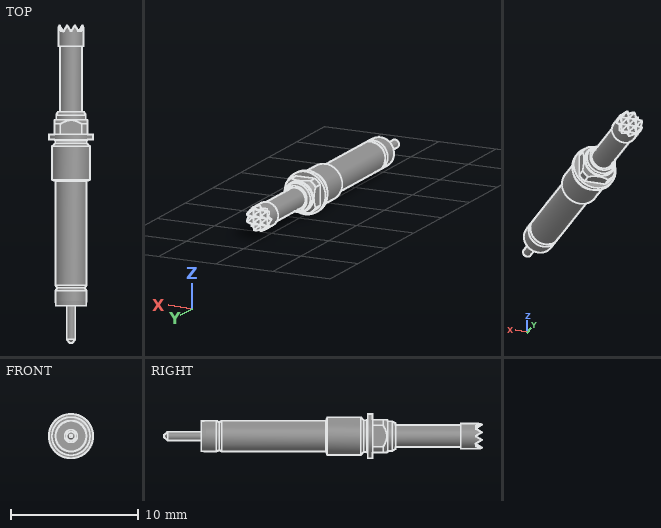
import cadquery as cq
overall_length = 25.0

head_radius = 1.0
head_end = 1.68
plunger_radius = 0.88
tooth_pitch = 0.6
tooth_depth = 0.5

collar_start = 6.8
collar_nose_radius = 1.02
collar_radius = 1.18
collar_chamfer_end = 7.08

wrench_start = 7.42
wrench_bevel_end = 7.78
wrench_nose_radius = 1.25
wrench_corner_radius = 1.55
wrench_across_flats = 2.6

flange_start = 8.6
flange_end = 9.0
flange_radius = 1.75
neck_root_radius = 1.32
neck_radius = 1.25
neck_start = 9.08
neck_end = 9.3

body_start = 9.52
body_radius = 1.5
body_end = 12.15
barrel_start = 12.28

barrel_radius = 1.22
groove_start = 20.45
groove_end = 20.88
groove_middle = (groove_start + groove_end) / 2
groove_radius = 1.1
taper_start = 21.7
barrel_end = 22.08
barrel_end_radius = 1.2

recess_radius = 0.5
recess_depth = 0.12
pin_radius = 0.35
pin_tip_radius = 0.1
pin_bevel_start = 24.7


def along_y(station):
    """Y position of a station, with the part centred on the origin."""
    return overall_length / 2 - station


def turned_part():
    """Revolve the full outer profile, given as radius and station, about Y."""
    profile = [
        (0, 0),
        (head_radius, 0),
        (head_radius, head_end),
        (plunger_radius, head_end),
        (plunger_radius, collar_start),
        (collar_nose_radius, collar_start),
        (collar_radius, collar_chamfer_end),
        (collar_radius, wrench_start),
        (wrench_nose_radius, wrench_start),
        (wrench_corner_radius, wrench_bevel_end),
        (wrench_corner_radius, flange_start),
        (flange_radius, flange_start),
        (flange_radius, flange_end),
        (neck_root_radius, flange_end),
        (neck_radius, neck_start),
        (neck_radius, neck_end),
        (body_radius, body_start),
        (body_radius, body_end),
        (barrel_radius, barrel_start),
        (barrel_radius, groove_start),
        (groove_radius, groove_middle),
        (barrel_radius, groove_end),
        (barrel_radius, taper_start),
        (barrel_end_radius, barrel_end),
        (recess_radius, barrel_end),
        (recess_radius, barrel_end - recess_depth),
        (pin_radius, barrel_end - recess_depth),
        (pin_radius, pin_bevel_start),
        (pin_tip_radius, overall_length),
        (0, overall_length),
    ]
    points = [(radius, along_y(station)) for radius, station in profile]
    return cq.Workplane("XY").polyline(points).close().revolve(360, (0, 0), (0, 1))


def wrench_waste():
    """Material outside the four wrench flats."""
    length = flange_start - wrench_start
    middle = along_y((wrench_start + flange_start) / 2)
    blank = cq.Workplane("XY").box(2 * flange_radius, length, 2 * flange_radius)
    square = cq.Workplane("XY").box(wrench_across_flats, length, wrench_across_flats)
    return blank.cut(square).translate((0, middle, 0))


def tooth_grooves():
    """Parallel V grooves running along Z across the end of the head."""
    tips = along_y(0)
    grooves = cq.Workplane("XY")
    for index in range(-2, 3):
        centre = index * tooth_pitch
        grooves = grooves.polyline([
            (centre - tooth_pitch / 2, tips),
            (centre, tips - tooth_depth),
            (centre + tooth_pitch / 2, tips),
        ]).close()
    return grooves.extrude(2 * head_radius, both=True)


result = turned_part().cut(wrench_waste())

for angle in (0, 90):
    result = result.cut(tooth_grooves().rotate((0, 0, 0), (0, 1, 0), angle))